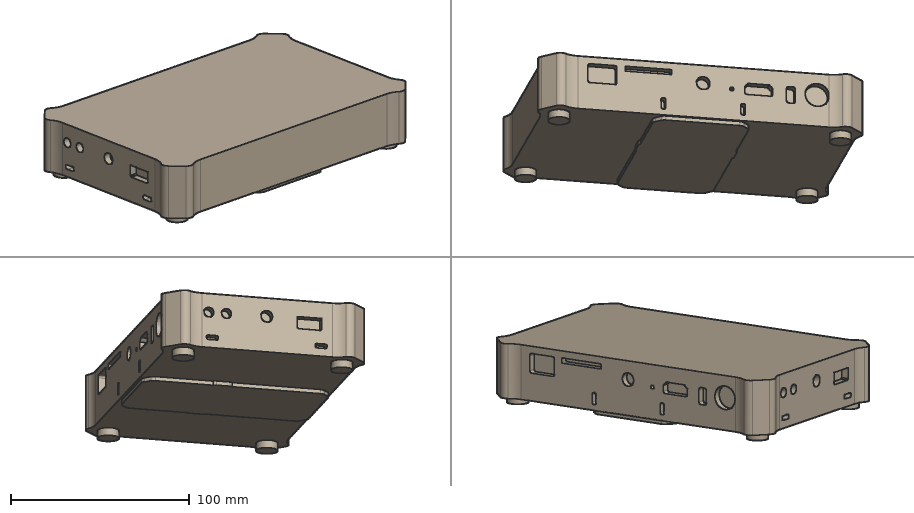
import cadquery as cq
import math

LENGTH = 185.2
WIDTH = 117.2
BODY_HEIGHT = 31.5
FOOT_HEIGHT = 4.5

END_FACE_Y = 89.6
FLARE_START_X = 37.8
TIP_X = 47.4
TIP_RADIUS = 4.3
BEVEL_ANGLE = math.radians(45)

HALF_EXCESS = (LENGTH - WIDTH) / 2
SIDE_FACE_X = END_FACE_Y - HALF_EXCESS

FOOT_DIAMETER = 12.2
FOOT_X = 46.0
FOOT_Y = 80.4

COVER_HALF_X = 54.0
COVER_HALF_Y = 27.4
COVER_THICKNESS = 2.4
COVER_CHAMFER = 4.8
COVER_FILLET = 3.3
TAB_X = -8.7
TAB_WIDTH = 12.0
TAB_DEPTH = 0.7
TAB_FILLET = 2.0

POCKET_DEPTH = 4.5
SLOT_WIDTH = 2.5
SLOT_LENGTH = 6.9

AUDIO_JACK_XS = (-33.5, -23.3)
AUDIO_JACK_Z = 20.5
AUDIO_JACK_DIAMETER = 5.5
END_BUTTON_Z = 20.7
END_BUTTON_DIAMETER = 6.7
USB_X, USB_Z = 24.8, 18.5
USB_WIDTH, USB_HEIGHT = 14.0, 7.0
USB_CORNER = 0.7
END_SLOT_X = 31.5
END_SLOT_Z = 6.0

LAN_Y, LAN_Z = 57.5, 21.7
LAN_WIDTH, LAN_HEIGHT = 16.5, 11.3
LAN_FILLET = 1.3
CARD_Y, CARD_Z = 31.3, 26.0
CARD_WIDTH, CARD_HEIGHT = 26.5, 3.0
CARD_FILLET = 0.7
SIDE_BUTTON_Z = 20.7
SIDE_BUTTON_DIAMETER = 7.5
PINHOLE_Y, PINHOLE_Z = -16.3, 18.5
PINHOLE_DIAMETER = 2.0
HDMI_Y, HDMI_Z = -31.7, 19.3
HDMI_WIDTH, HDMI_HEIGHT = 16.0, 6.7
HDMI_TOP_CHAMFER = 2.0
HDMI_BOTTOM_FILLET = 1.3
SWITCH_Y, SWITCH_Z = -50.0, 17.5
SWITCH_WIDTH, SWITCH_HEIGHT = 5.0, 9.8
SWITCH_FILLET = 1.5
POWER_Y, POWER_Z = -65.0, 18.7
POWER_DIAMETER = 13.5
SIDE_SLOT_Y = 22.8
SIDE_SLOT_Z = 6.9


def across_corner(point):
    """Reflect a point in the 45 degree symmetry line of the +X +Y corner."""
    x, y = point
    return (y - HALF_EXCESS, x + HALF_EXCESS)


def on_circle(center, radius, angle):
    """Point on a circle, with the angle measured from +Y towards +X."""
    return (center[0] + radius * math.sin(angle), center[1] + radius * math.cos(angle))


def half_corner():
    """Points from the end face to the bevel: start, then the middle and end of each tangent arc."""
    rise = LENGTH / 2 - END_FACE_Y
    run = TIP_X - FLARE_START_X
    slope = 2 * math.atan(rise / run)
    flare_radius = run / math.sin(slope) - TIP_RADIUS
    flare_center = (FLARE_START_X, END_FACE_Y + flare_radius)
    tip_center = (TIP_X, LENGTH / 2 - TIP_RADIUS)
    return [
        (FLARE_START_X, END_FACE_Y),
        on_circle(flare_center, flare_radius, math.pi - slope / 2),
        on_circle(tip_center, TIP_RADIUS, -slope),
        (TIP_X, LENGTH / 2),
        on_circle(tip_center, TIP_RADIUS, BEVEL_ANGLE),
    ]


def case_body():
    end_half = half_corner()
    side_half = [across_corner(point) for point in reversed(end_half)]

    start = end_half[0]
    outline = cq.Workplane("XY").moveTo(-start[0], start[1])
    for sign_x, sign_y in ((1, 1), (1, -1), (-1, -1), (-1, 1)):
        halves = [end_half, side_half]
        if sign_x != sign_y:
            halves = [side_half[::-1], end_half[::-1]]
        for half in halves:
            points = [(sign_x * x, sign_y * y) for x, y in half]
            outline = outline.lineTo(*points[0])
            for through, end in zip(points[1::2], points[2::2]):
                outline = outline.threePointArc(through, end)
    return outline.close().extrude(BODY_HEIGHT)


def feet():
    spots = cq.Workplane("XY").rect(2 * FOOT_X, 2 * FOOT_Y, forConstruction=True).vertices()
    return spots.circle(FOOT_DIAMETER / 2).extrude(-FOOT_HEIGHT)


def bottom_cover():
    cover = cq.Workplane("XY").rect(2 * COVER_HALF_X, 2 * COVER_HALF_Y).extrude(-COVER_THICKNESS)
    cover = cover.edges("|Z").chamfer(COVER_CHAMFER).edges("|Z").fillet(COVER_FILLET)
    tabs = (
        cq.Workplane("XY")
        .center(TAB_X, 0)
        .rect(TAB_WIDTH, 2 * (COVER_HALF_Y + TAB_DEPTH))
        .extrude(-COVER_THICKNESS)
        .edges("|Z")
        .fillet(TAB_FILLET)
    )
    return cover.union(tabs)


def end_plane(x, z):
    """Sketch plane on the -Y end: local x is +X, local y is +Z, extruding outward (-Y)."""
    return cq.Workplane("XZ", origin=(x, -END_FACE_Y, z))


def side_plane(y, z):
    """Sketch plane on the -X side: local x is +Y, local y is +Z, extruding inward."""
    return cq.Workplane("YZ", origin=(-SIDE_FACE_X, y, z))


def end_openings():
    openings = end_plane(0, END_BUTTON_Z).circle(END_BUTTON_DIAMETER / 2).extrude(-POCKET_DEPTH)
    for x in AUDIO_JACK_XS:
        jack = end_plane(x, AUDIO_JACK_Z).circle(AUDIO_JACK_DIAMETER / 2).extrude(-POCKET_DEPTH)
        openings = openings.union(jack)
    usb = end_plane(USB_X, USB_Z).rect(USB_WIDTH, USB_HEIGHT).extrude(-POCKET_DEPTH)
    openings = openings.union(usb.edges("|Y and <Z").chamfer(USB_CORNER))
    for x in (-END_SLOT_X, END_SLOT_X):
        slot = end_plane(x, END_SLOT_Z).slot2D(SLOT_LENGTH, SLOT_WIDTH).extrude(-POCKET_DEPTH)
        openings = openings.union(slot)
    return openings


def side_round(y, z, diameter):
    return side_plane(y, z).circle(diameter / 2).extrude(POCKET_DEPTH)


def side_block(y, z, width, height):
    return side_plane(y, z).rect(width, height).extrude(POCKET_DEPTH)


def side_openings():
    openings = side_round(0, SIDE_BUTTON_Z, SIDE_BUTTON_DIAMETER)
    openings = openings.union(side_round(PINHOLE_Y, PINHOLE_Z, PINHOLE_DIAMETER))
    openings = openings.union(side_round(POWER_Y, POWER_Z, POWER_DIAMETER))

    lan = side_block(LAN_Y, LAN_Z, LAN_WIDTH, LAN_HEIGHT).edges("|X").fillet(LAN_FILLET)
    card = side_block(CARD_Y, CARD_Z, CARD_WIDTH, CARD_HEIGHT).edges("|X").fillet(CARD_FILLET)
    switch = side_block(SWITCH_Y, SWITCH_Z, SWITCH_WIDTH, SWITCH_HEIGHT).edges("|X").fillet(SWITCH_FILLET)
    hdmi = side_block(HDMI_Y, HDMI_Z, HDMI_WIDTH, HDMI_HEIGHT)
    hdmi = hdmi.edges("|X and >Z").chamfer(HDMI_TOP_CHAMFER)
    hdmi = hdmi.edges("|X and <Z").fillet(HDMI_BOTTOM_FILLET)
    for opening in (lan, card, switch, hdmi):
        openings = openings.union(opening)

    for y in (-SIDE_SLOT_Y, SIDE_SLOT_Y):
        slot = side_plane(y, SIDE_SLOT_Z).slot2D(SLOT_LENGTH, SLOT_WIDTH, 90).extrude(POCKET_DEPTH)
        openings = openings.union(slot)
    return openings


result = case_body().union(feet()).union(bottom_cover()).cut(end_openings()).cut(side_openings())